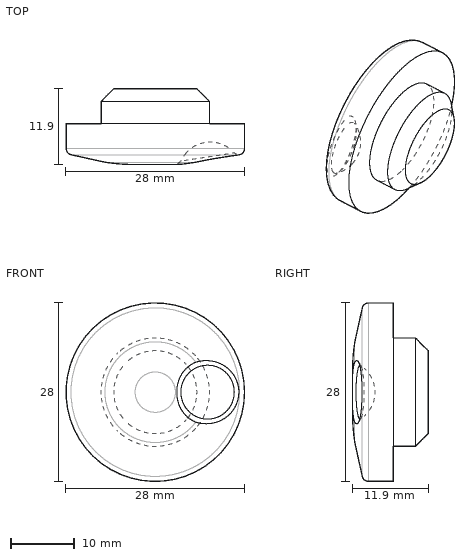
import cadquery as cq
import math

disc_radius = 14.0
total_depth = 11.9
boss_radius = 17.0 / 2
boss_length = 5.5
boss_chamfer = 2.0
rim_length = 3.9
rim_fillet = 1.0

flat_radius = 3.15
blend_radius = 7.9
blend_height = 0.35
cone_angle = math.radians(12.8)

dimple_offset = 8.25
dimple_depth_at_axis = 0.75
dimple_lean = 8.6
bowl_radius = 5.0
bowl_edge_radius = 4.23
mouth_radius = 4.93
mouth_depth = 0.45
mouth_overrun = 0.85

front_y = 0.0
back_y = total_depth
disc_back_y = back_y - boss_length
rim_front_y = disc_back_y - rim_length
blend_y = front_y + blend_height


def rim_arc_point(angle):
    """Point on the rim fillet, at an angle from the radial direction towards the front."""
    return (
        disc_radius - rim_fillet + rim_fillet * math.cos(angle),
        rim_front_y - rim_fillet * math.sin(angle),
    )


def make_body():
    rim_end_angle = math.pi / 2 - cone_angle
    half_chord = math.hypot(blend_radius - flat_radius, blend_height) / 2
    chord_angle = math.atan2(blend_height, blend_radius - flat_radius)
    sagitta = half_chord * math.tan(chord_angle / 2)
    blend_middle = (
        (flat_radius + blend_radius) / 2 + sagitta * math.sin(chord_angle),
        front_y + blend_height / 2 - sagitta * math.cos(chord_angle),
    )
    profile = (
        cq.Workplane("XY")
        .moveTo(0, front_y)
        .lineTo(flat_radius, front_y)
        .threePointArc(blend_middle, (blend_radius, blend_y))
        .lineTo(*rim_arc_point(rim_end_angle))
        .threePointArc(rim_arc_point(rim_end_angle / 2), (disc_radius, rim_front_y))
        .lineTo(disc_radius, disc_back_y)
        .lineTo(boss_radius, disc_back_y)
        .lineTo(boss_radius, back_y - boss_chamfer)
        .lineTo(boss_radius - boss_chamfer, back_y)
        .lineTo(0, back_y)
        .close()
    )
    return profile.revolve(360, (0, 0, 0), (0, 1, 0))


def make_dimple():
    """Bowl and mouth turned about Y, with the mouth rim at y = 0 and the bowl towards +Y."""
    bowl_centre_y = mouth_depth - math.sqrt(bowl_radius**2 - bowl_edge_radius**2)
    bowl_bottom_y = bowl_centre_y + bowl_radius
    half_angle = math.asin(bowl_edge_radius / bowl_radius) / 2
    bowl_middle = (
        bowl_radius * math.sin(half_angle),
        bowl_centre_y + bowl_radius * math.cos(half_angle),
    )
    mouth_slope = (mouth_radius - bowl_edge_radius) / mouth_depth
    outer_radius = mouth_radius + mouth_slope * mouth_overrun
    dimple = (
        cq.Workplane("XY")
        .moveTo(0, bowl_bottom_y)
        .threePointArc(bowl_middle, (bowl_edge_radius, mouth_depth))
        .lineTo(outer_radius, -mouth_overrun)
        .lineTo(0, -mouth_overrun)
        .close()
        .revolve(360, (0, 0, 0), (0, 1, 0))
    )
    leaning = dimple.rotate((0, 0, 0), (0, 0, 1), dimple_lean)
    return leaning.translate((dimple_offset, front_y + dimple_depth_at_axis, 0))


result = make_body().cut(make_dimple())